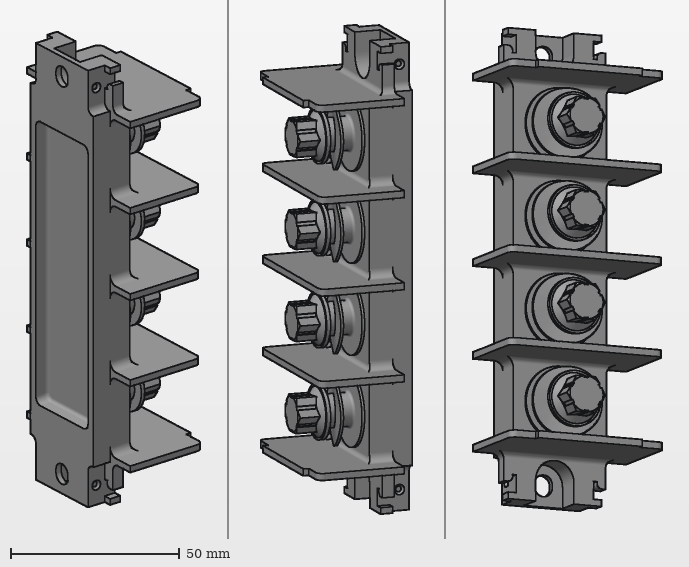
import cadquery as cq
import math


LENGTH = 142.2
BODY_WIDTH = 30.6
BODY_DEPTH = 13.7

PLATE_PITCH = 28.0
PLATE_THICKNESS = 2.1
PLATE_WIDTH = 50.0
PLATE_FRONT = 6.3
INNER_PLATE_BACK = 32.8
END_PLATE_SHOULDER = 33.5
END_PLATE_BACK = 35.3
END_TAB_WIDTH = 34.0
PLATE_CORNER_RADIUS = 2.1
INNER_SIDE_FILLET = 2.7
INNER_BACK_FILLET = 1.4
OUTER_SIDE_FILLET = 2.3
OUTER_BACK_FILLET = 1.5

END_WIDTH = 25.3
END_DEPTH = 10.1
END_WALL = 2.0
RECESS_WIDTH = 12.5
HOLE_WIDTH = 5.8
HOLE_HEIGHT = 6.5
HOLE_OFFSET = 6.4
DIMPLE_RADIUS = 1.5
DIMPLE_FLOOR_RADIUS = 0.9
DIMPLE_DEPTH = 0.9
DIMPLE_Y = 3.1
LIP_HEIGHT = 2.0
HOOK_WIDTH = 33.3
HOOK_GAP = 1.1
HOOK_TIP_OFFSET = 5.3
HOOK_GAP_OFFSET = 7.4
HOOK_ROUND = 1.5

POCKET_WIDTH = 25.3
POCKET_LENGTH = 92.5
POCKET_DEPTH = 4.1
POCKET_CORNER_RADIUS = 2.3
POCKET_FLOOR_FILLET = 1.1
POCKET_DRAFT_ANGLE = 7.0

TERMINAL_COUNT = 4
SEAT_RADIUS = 11.4
SEAT_TOP = 14.5
POST_RADIUS = 5.1
POST_ROOT_FILLET = 0.9
CLAMP_RADIUS = 10.5
CLAMP_THICKNESS = 0.9
CLAMP_HIGH_Y = 20.0
CLAMP_LOW_Y = 16.8
CLAMP_BEND_X = 4.5
CLAMP_BEND_DROP = 0.4
FLANGE_RADIUS = 8.4
FLANGE_BOTTOM = 23.3
FLANGE_TOP = 24.6
CONE_BASE_RADIUS = 7.7
CONE_TOP = 26.5
HEAD_TOP = 32.5
HEAD_ACROSS_FLATS = 10.8
HEAD_SIDES = 6
HEAD_EDGE_CHAMFER = 0.4
GROOVE_WIDTH = 1.1
GROOVE_DEPTH = 0.4

HALF_LENGTH = LENGTH / 2
END_PLATE_Z = 2 * PLATE_PITCH
BODY_TOP_Z = END_PLATE_Z + PLATE_THICKNESS / 2
HOLE_Z = HALF_LENGTH - HOLE_OFFSET
HEAD_CORNER_RADIUS = HEAD_ACROSS_FLATS / math.sqrt(3)


def block(x_range, y_range, z_range):
    """Box between the given limits on each axis."""
    (x0, x1), (y0, y1), (z0, z1) = x_range, y_range, z_range
    return cq.Workplane("XY").box(x1 - x0, y1 - y0, z1 - z0, centered=False).translate((x0, y0, z0))


def centred_block(width, y_range, z_range):
    """Box centred on X = 0."""
    return block((-width / 2, width / 2), y_range, z_range)


def concave_corner(plane, corner, radius, direction):
    """Closed profile of a concave fillet at `corner`; `direction` gives the signs of its two legs."""
    u, v = corner
    leg_u = direction[0] * radius
    leg_v = direction[1] * radius
    bulge = 1 - math.sqrt(0.5)
    return (
        plane.moveTo(u, v)
        .lineTo(u + leg_u, v)
        .threePointArc((u + leg_u * bulge, v + leg_v * bulge), (u, v + leg_v))
        .close()
    )


def side_fillet(side, half_width, z, z_sign, radius, y_range):
    """Fillet running along Y between a side wall at `half_width` and a face at height `z`."""
    y0, y1 = y_range
    plane = cq.Workplane("XZ", origin=(0, y0, 0))
    return concave_corner(plane, (side * half_width, z), radius, (side, z_sign)).extrude(y0 - y1)


def back_fillet(half_width, back_y, z, z_sign, radius):
    """Fillet running along X between a back wall at `back_y` and a face at height `z`."""
    plane = cq.Workplane("YZ", origin=(-half_width, 0, 0))
    return concave_corner(plane, (back_y, z), radius, (1, z_sign)).extrude(2 * half_width)


def plate_fillets(half_width, back_y, z, z_sign, side_radius, back_radius):
    """Fillets from a plate face onto both sides and the back of its block, mitred at the corners."""
    outer_half_width = half_width + side_radius
    outer_y = back_y + back_radius
    fillets = back_fillet(half_width, back_y, z, z_sign, back_radius)
    long_back = back_fillet(outer_half_width, back_y, z, z_sign, back_radius)
    for side in (-1, 1):
        straight = side_fillet(side, half_width, z, z_sign, side_radius, (PLATE_FRONT, back_y))
        corner = side_fillet(side, half_width, z, z_sign, side_radius, (back_y, outer_y))
        fillets = fillets.union(straight).union(corner.intersect(long_back))
    return fillets


def barrier_plate(z, back):
    """Horizontal plate with rounded back corners."""
    z_range = (z - PLATE_THICKNESS / 2, z + PLATE_THICKNESS / 2)
    plate = centred_block(PLATE_WIDTH, (PLATE_FRONT, back), z_range)
    return plate.edges("|Z and >Y").fillet(PLATE_CORNER_RADIUS)


def inner_fillets(z, z_sign):
    """Fillets between the body and the plate face at height `z`."""
    return plate_fillets(BODY_WIDTH / 2, BODY_DEPTH, z, z_sign, INNER_SIDE_FILLET, INNER_BACK_FILLET)


def inner_barrier(z):
    """Plain barrier plate with fillets on both faces."""
    barrier = barrier_plate(z, INNER_PLATE_BACK)
    for z_sign in (-1, 1):
        barrier = barrier.union(inner_fillets(z + z_sign * PLATE_THICKNESS / 2, z_sign))
    return barrier


def hook(side):
    """Hook that stands on the end plate beside the mounting end, with a narrow gap between them."""
    inner = side * (END_WIDTH / 2 + HOOK_GAP)
    outer = side * HOOK_WIDTH / 2
    y_range = (PLATE_FRONT, END_DEPTH)
    gap_z = HALF_LENGTH - HOOK_GAP_OFFSET
    tip = block(sorted((inner, outer)), y_range, (BODY_TOP_Z, HALF_LENGTH - HOOK_TIP_OFFSET))
    inner_edge = "<X" if side > 0 else ">X"
    tip = tip.edges("|Y and >Z").edges(inner_edge).fillet(HOOK_ROUND)
    root = block(sorted((0, inner)), y_range, (BODY_TOP_Z, gap_z))
    return tip.union(root)


def mounting_end():
    """Upper mounting end with its end plate, lips, hooks, round-bottomed recess and screw hole."""
    end = centred_block(END_WIDTH, (0, END_DEPTH), (BODY_TOP_Z, HALF_LENGTH))
    lips = centred_block(BODY_WIDTH, (PLATE_FRONT, END_DEPTH), (HALF_LENGTH - LIP_HEIGHT, HALF_LENGTH))
    end = end.union(lips)
    for side in (-1, 1):
        notch_fillet = side_fillet(side, END_WIDTH / 2, BODY_TOP_Z, 1, OUTER_SIDE_FILLET, (0, PLATE_FRONT))
        end = end.union(hook(side)).union(notch_fillet)

    end = end.union(barrier_plate(END_PLATE_Z, END_PLATE_SHOULDER))
    plate_z_range = (END_PLATE_Z - PLATE_THICKNESS / 2, BODY_TOP_Z)
    end = end.union(centred_block(END_TAB_WIDTH, (END_DEPTH, END_PLATE_BACK), plate_z_range))
    end = end.union(
        plate_fillets(HOOK_WIDTH / 2, END_DEPTH, BODY_TOP_Z, 1, OUTER_SIDE_FILLET, OUTER_BACK_FILLET)
    )
    end = end.union(inner_fillets(END_PLATE_Z - PLATE_THICKNESS / 2, -1))

    recess_depth = END_PLATE_BACK - END_WALL
    bowl = cq.Workplane("XZ", origin=(0, END_WALL, HOLE_Z)).circle(RECESS_WIDTH / 2).extrude(-recess_depth)
    slot = centred_block(RECESS_WIDTH, (END_WALL, END_DEPTH), (HOLE_Z, HALF_LENGTH))
    hole = (
        cq.Workplane("XZ", origin=(0, 0, HOLE_Z))
        .slot2D(HOLE_HEIGHT, HOLE_WIDTH, 90)
        .extrude(-END_DEPTH)
    )
    end = end.cut(bowl).cut(slot).cut(hole)
    for side in (-1, 1):
        end = end.cut(side_dimple(side))
    return end


def side_dimple(side):
    """Blind conical dimple in a side wall of the mounting end."""
    return cq.Workplane(
        cq.Solid.makeCone(
            DIMPLE_RADIUS,
            DIMPLE_FLOOR_RADIUS,
            DIMPLE_DEPTH,
            cq.Vector(side * END_WIDTH / 2, DIMPLE_Y, HOLE_Z),
            cq.Vector(-side, 0, 0),
        )
    )


def face_pocket():
    """Rounded rectangular pocket with drafted walls and a filleted floor."""
    pocket = (
        cq.Workplane("XZ")
        .rect(POCKET_WIDTH, POCKET_LENGTH)
        .extrude(-POCKET_DEPTH, taper=POCKET_DRAFT_ANGLE)
    )
    slanted_corners = pocket.edges("not #Y")
    return slanted_corners.fillet(POCKET_CORNER_RADIUS).faces(">Y").edges().fillet(POCKET_FLOOR_FILLET)


def make_housing():
    body = centred_block(BODY_WIDTH, (0, BODY_DEPTH), (-BODY_TOP_Z, BODY_TOP_Z)).cut(face_pocket())
    for step in (-1, 0, 1):
        body = body.union(inner_barrier(step * PLATE_PITCH))
    upper_end = mounting_end()
    return body.union(upper_end).union(upper_end.mirror("XY"))


def turned(*profile):
    """Solid of revolution about the Y axis from (radius, y) points that start and end on the axis."""
    return cq.Workplane("XY").polyline(profile).close().revolve(360, (0, 0, 0), (0, 1, 0))


def disc(radius, bottom, top):
    """Disc about the Y axis."""
    return cq.Workplane("XZ", origin=(0, bottom, 0)).circle(radius).extrude(bottom - top)


def seat_and_post():
    """Seat disc with a post that is filleted at its root and reaches up to the flange."""
    seat = disc(SEAT_RADIUS, BODY_DEPTH, SEAT_TOP)
    post = disc(POST_RADIUS, SEAT_TOP, FLANGE_BOTTOM)
    root = concave_corner(cq.Workplane("XY"), (POST_RADIUS, SEAT_TOP), POST_ROOT_FILLET, (1, 1))
    return seat.union(post).union(root.revolve(360, (0, 0, 0), (0, 1, 0)))


def clamp():
    """Round washer bent to an S, high on the -X side and low on the +X side."""
    underside = [
        (-CLAMP_RADIUS, CLAMP_HIGH_Y),
        (-CLAMP_BEND_X, CLAMP_HIGH_Y - CLAMP_BEND_DROP),
        (CLAMP_BEND_X, CLAMP_LOW_Y + CLAMP_BEND_DROP),
        (CLAMP_RADIUS, CLAMP_LOW_Y),
    ]
    top_side = [(x, y + CLAMP_THICKNESS) for x, y in reversed(underside)]
    strip = (
        cq.Workplane("XY", origin=(0, 0, -CLAMP_RADIUS))
        .moveTo(*underside[0])
        .spline(underside[1:], includeCurrent=True)
        .lineTo(*top_side[0])
        .spline(top_side[1:], includeCurrent=True)
        .close()
        .extrude(2 * CLAMP_RADIUS)
    )
    return strip.intersect(disc(CLAMP_RADIUS, SEAT_TOP, FLANGE_BOTTOM))


def screw_head():
    """Hexagonal head on a conical flange, with a shallow groove along the middle of each flat."""
    flat = HEAD_ACROSS_FLATS / 2
    flange = turned(
        (0, FLANGE_BOTTOM),
        (FLANGE_RADIUS, FLANGE_BOTTOM),
        (FLANGE_RADIUS, FLANGE_TOP),
        (CONE_BASE_RADIUS, FLANGE_TOP),
        (flat, CONE_TOP),
        (0, CONE_TOP),
    )
    hexagon = (
        cq.Workplane("XZ", origin=(0, FLANGE_TOP, 0))
        .polygon(HEAD_SIDES, 2 * HEAD_CORNER_RADIUS)
        .extrude(FLANGE_TOP - HEAD_TOP)
    )
    corner_trim = turned(
        (0, FLANGE_TOP),
        (HEAD_CORNER_RADIUS, FLANGE_TOP),
        (HEAD_CORNER_RADIUS, HEAD_TOP - HEAD_EDGE_CHAMFER),
        (flat, HEAD_TOP),
        (0, HEAD_TOP),
    )
    hexagon = hexagon.intersect(corner_trim)
    groove = centred_block(GROOVE_WIDTH, (CONE_TOP, HEAD_TOP), (flat - GROOVE_DEPTH, flat))
    for index in range(HEAD_SIDES):
        hexagon = hexagon.cut(groove.rotate((0, 0, 0), (0, 1, 0), index * 360 / HEAD_SIDES))
    return flange.union(hexagon)


def make_terminal(z):
    terminal = seat_and_post().union(clamp()).union(screw_head())
    return terminal.translate((0, 0, z))


housing = make_housing()
terminals = []
for index in range(TERMINAL_COUNT):
    terminal_z = (index - (TERMINAL_COUNT - 1) / 2) * PLATE_PITCH
    terminals.append(make_terminal(terminal_z))

result = cq.Compound.makeCompound([housing.val(), *[terminal.val() for terminal in terminals]])